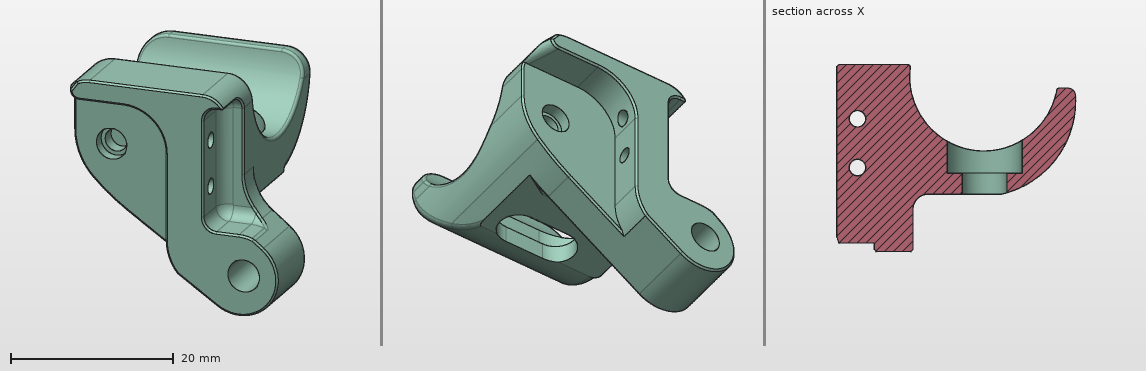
import cadquery as cq
import math

height = 28.19
length = 28.66
depth = 29.41

clearance = 1.0
tolerance = 0.001

plate_thickness = 9.4
edge_chamfer = 0.25
body_width = 21.9
left_corner_radius = 3.8
right_corner_radius = 3.2
lug_radius = 5.15
lug_x = length - lug_radius
lug_z = lug_radius
neck_slope = math.radians(38.5)
neck_radius = 6.7
underside_slope = math.radians(34)
bend_slope = math.radians(46)
bend_top_z = 19.9
bend_radius = 8.6

pivot_diameter = 4.16
pivot_x = 24.18
pivot_z = 5.3

cradle_radius = 9.1
cradle_y = 18.1
cradle_z = 26.65
arm_bottom = 12.2
arm_outer_radius = 11.8
arm_outer_y = depth - arm_outer_radius
arm_outer_z = 23.7
lip_top = 25.3
arm_edge_fillet = 1.0
cradle_edge_fillet = 0.4
arm_root_fillet = 1.8

slot_x = 11.55
slot_y = 18.2
slot_length = 11.0
slot_width = 5.5
slot_pocket_length = 16.1
slot_pocket_width = 9.2
slot_pocket_floor = 14.8

recess_depth = 4.6
recess_top = 25.5
recess_right = 13.85
recess_corner_radius = 5.6
recess_flare_z = 8.6
recess_flare_radius = 6.5
recess_flare_angle = math.radians(60)

tip_x = 1.3
tip_radius = 1.15
tip_rear_x = -0.25

notch_left = 18.85
notch_bottom = 10.55
notch_top = 26.5
notch_depth = 5.9
notch_corner_radius = 1.7
notch_floor_fillet = 1.6

stepped_x = 4.97
stepped_z = 18.6
stepped_diameter = 4.0
stepped_depth = 1.6
stepped_pilot_diameter = 2.94
stepped_pilot_depth = 2.0

cross_diameter = 2.0
cross_y = 2.55
cross_heights = (15.5, 21.5)

lug_bottom = (
    lug_x - lug_radius * math.sin(underside_slope),
    lug_z - lug_radius * math.cos(underside_slope),
)
lug_side = (length, lug_z)
lug_top = (
    lug_x + lug_radius * math.sin(neck_slope),
    lug_z + lug_radius * math.cos(neck_slope),
)
neck_corner_z = lug_top[1] + (lug_top[0] - body_width) * math.tan(neck_slope)

bend_middle = (
    bend_radius * (1 - math.sin(bend_slope)),
    bend_top_z - bend_radius * math.cos(bend_slope),
)


def underside_z(x):
    """Height of the sloping underside, tangent to the lug."""
    return lug_bottom[1] + (lug_bottom[0] - x) * math.tan(underside_slope)


bend_tangent_run = (bend_middle[1] - underside_z(bend_middle[0])) / (
    math.tan(bend_slope) - math.tan(underside_slope)
)
bend_end_x = bend_middle[0] + bend_tangent_run * (1 + math.cos(underside_slope) / math.cos(bend_slope))
bend_end = (bend_end_x, underside_z(bend_end_x))


def slab(sketch, y_start, y_end):
    """Extrude a closed XZ outline from y_start to y_end."""
    return sketch.extrude(y_start - y_end).translate((0, y_start, 0))


def rod(x, z, diameter, y_start, y_end):
    """Cylinder along Y."""
    return slab(cq.Workplane("XZ").center(x, z).circle(diameter / 2), y_start, y_end)


def round_corner(body, x, z, radius):
    """Fillet the edge along Y nearest to the given XZ corner."""
    y_middle = body.val().BoundingBox().center.y
    return body.edges("|Y").edges(cq.NearestToPointSelector((x, y_middle, z))).fillet(radius)


def close_left_side(sketch):
    """Finish an outline from a point on the underside, up the left side to its start."""
    return (
        sketch.lineTo(*bend_end)
        .tangentArcPoint(bend_middle, relative=False)
        .tangentArcPoint((0, bend_top_z), relative=False)
        .close()
    )


def round_top_corners(body, top):
    body = round_corner(body, 0, top, left_corner_radius)
    return round_corner(body, body_width, top, right_corner_radius)


def make_plate():
    outline = (
        cq.Workplane("XZ")
        .moveTo(0, height)
        .lineTo(body_width, height)
        .lineTo(body_width, neck_corner_z)
        .lineTo(*lug_top)
        .threePointArc(lug_side, lug_bottom)
    )
    plate = slab(close_left_side(outline), 0, plate_thickness)
    plate = round_top_corners(plate, height)
    plate = round_corner(plate, body_width, neck_corner_z, neck_radius)
    return plate.faces(">Y").edges().chamfer(edge_chamfer)


def arm_block(top, y_start, y_end):
    """Body outline, as wide as the body, between two depths."""
    outline = (
        cq.Workplane("XZ")
        .moveTo(0, top)
        .lineTo(body_width, top)
        .lineTo(body_width, underside_z(body_width))
    )
    return round_top_corners(slab(close_left_side(outline), y_start, y_end), top)


def on_arm_back(edge):
    """True for an edge that bounds the curved back of the arm or the end of its lip."""
    mid = edge.positionAt(0.5)
    from_axis = math.hypot(mid.y - arm_outer_y, mid.z - arm_outer_z)
    on_curve = mid.y > arm_outer_y and mid.z < arm_outer_z and abs(from_axis - arm_outer_radius) < tolerance
    on_end = abs(mid.y - depth) < tolerance
    return on_curve or on_end


def make_arm():
    """Arm that reaches back from the plate and curls up into the lip."""
    root_y = plate_thickness / 2
    arm = arm_block(height, root_y, cradle_y).union(arm_block(lip_top, cradle_y, depth))

    run_out = math.sqrt(arm_outer_radius**2 - (arm_outer_z - arm_bottom) ** 2)
    diagonal = arm_outer_radius * math.sqrt(0.5)
    side_profile = (
        cq.Workplane("YZ")
        .moveTo(root_y, height)
        .lineTo(root_y, arm_bottom)
        .lineTo(arm_outer_y + run_out, arm_bottom)
        .threePointArc((arm_outer_y + diagonal, arm_outer_z - diagonal), (depth, arm_outer_z))
        .lineTo(depth, height)
        .close()
        .extrude(body_width)
    )
    arm = arm.intersect(side_profile)

    end_joints = (arm_outer_z, arm_bottom)
    rounded = [
        edge
        for edge in arm.edges().vals()
        if on_arm_back(edge) and all(abs(edge.Center().z - joint) > tolerance for joint in end_joints)
    ]
    return arm.newObject(rounded).fillet(arm_edge_fillet)


def make_cradle_bore():
    return cq.Workplane("YZ").center(cradle_y, cradle_z).circle(cradle_radius).extrude(body_width)


def make_slot():
    """Stepped slot through the cradle floor."""
    centre = cq.Workplane("XY").center(slot_x, slot_y)
    through = centre.slot2D(slot_length, slot_width).extrude(height)
    pocket_floor = centre.workplane(offset=slot_pocket_floor)
    pocket = pocket_floor.slot2D(slot_pocket_length, slot_pocket_width).extrude(height)
    return through.union(pocket)


def make_recess():
    """Recess open to the left and flaring right towards the underside."""
    flare_x = recess_right + recess_flare_radius * (1 - math.cos(recess_flare_angle))
    flare_z = recess_flare_z - recess_flare_radius * math.sin(recess_flare_angle)
    outline = (
        cq.Workplane("XZ")
        .moveTo(-clearance, recess_top)
        .lineTo(recess_right - recess_corner_radius, recess_top)
        .tangentArcPoint((recess_right, recess_top - recess_corner_radius), relative=False)
        .lineTo(recess_right, recess_flare_z)
        .tangentArcPoint((flare_x, flare_z), relative=False)
        .lineTo(-clearance, flare_z)
        .close()
    )
    return slab(outline, 0, recess_depth)


def make_notch():
    """Notch open to the right, with a filleted back and a bottom that falls away around the lug."""
    bottom_radius = notch_bottom - lug_z
    outline = (
        cq.Workplane("XZ")
        .moveTo(notch_left, notch_top)
        .lineTo(notch_left, notch_bottom)
        .lineTo(lug_x, notch_bottom)
        .tangentArcPoint((lug_x + bottom_radius, lug_z), relative=False)
        .lineTo(lug_x + bottom_radius, notch_top)
        .close()
    )
    notch = slab(outline, 0, notch_depth)
    notch = notch.edges("<X and |Y").fillet(notch_corner_radius)
    return notch.faces(">Y").edges("not >X").fillet(notch_floor_fillet)


def tip_outline(x):
    """Area to the left of an overhang tip at x with a rounded lower corner."""
    arc_inset = tip_radius * (1 - math.sqrt(0.5))
    return (
        cq.Workplane("XZ")
        .moveTo(-clearance, recess_top)
        .lineTo(x + tip_radius, recess_top)
        .threePointArc((x + arc_inset, recess_top + arc_inset), (x, recess_top + tip_radius))
        .lineTo(x + tip_radius, height)
        .lineTo(-clearance, height)
        .close()
        .val()
    )


def make_tip_relief():
    """Tapered relief, widest at the front face and nearly vanishing at the recess floor."""
    front = tip_outline(tip_x)
    rear = tip_outline(tip_rear_x).translate(cq.Vector(0, recess_depth, 0))
    return cq.Workplane(cq.Solid.makeLoft([front, rear], True))


def make_stepped_hole():
    step_end = recess_depth + stepped_depth
    pilot_end = step_end + stepped_pilot_depth
    step = rod(stepped_x, stepped_z, stepped_diameter, recess_depth, step_end)
    return step.union(rod(stepped_x, stepped_z, stepped_pilot_diameter, recess_depth, pilot_end))


def make_cross_holes():
    centres = [(cross_y, z) for z in cross_heights]
    return cq.Workplane("YZ").pushPoints(centres).circle(cross_diameter / 2).extrude(length)


def fillet_arm_root(body):
    """Blend the underside of the arm into the back of the plate."""
    root = cq.NearestToPointSelector((body_width / 2, plate_thickness, arm_bottom))
    return body.edges(root).fillet(arm_root_fillet)


def on_cradle(edge):
    """True for an edge that lies on the cradle bore along its whole length."""
    return all(
        abs(math.hypot(point.y - cradle_y, point.z - cradle_z) - cradle_radius) < tolerance
        for point in edge.positions([0, 0.25, 0.5, 0.75, 1])
    )


def fillet_cradle_rim(body):
    rim = [edge for edge in body.edges().vals() if on_cradle(edge)]
    return body.newObject(rim).fillet(cradle_edge_fillet)


def chamfer_front(body):
    """Chamfer the front face, the back of the notch and the left side of the recess floor."""
    side_middle_z = (bend_top_z + recess_top) / 2
    body = body.faces("<Y").edges().chamfer(edge_chamfer)
    notch_back = cq.NearestToPointSelector((body_width, notch_depth, side_middle_z))
    body = body.edges(notch_back).chamfer(edge_chamfer)
    recess_side = cq.NearestToPointSelector((0, recess_depth, side_middle_z))
    return body.edges(recess_side).chamfer(edge_chamfer)


result = make_plate().union(make_arm())
result = fillet_arm_root(result)
result = fillet_cradle_rim(result.cut(make_cradle_bore()))
result = result.cut(make_recess()).cut(make_notch()).cut(make_tip_relief())
result = chamfer_front(result)
result = result.cut(make_slot()).cut(make_stepped_hole()).cut(make_cross_holes())
result = result.cut(rod(pivot_x, pivot_z, pivot_diameter, 0, plate_thickness))